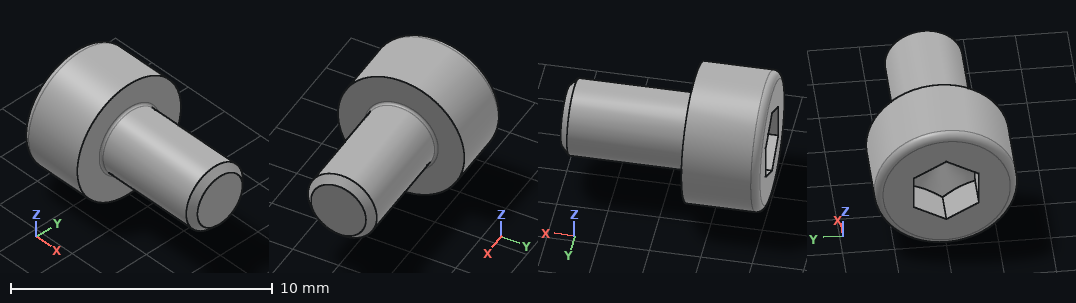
import cadquery as cq
import math

total_length = 8.0
head_diameter = 5.5
head_height = 3.0
head_edge_radius = 0.3
shank_diameter = 3.0
tip_chamfer = 0.3
neck_fillet_radius = 0.1
socket_width = 2.5
socket_depth = 1.3
socket_cone_angle = 120.0

head_radius = head_diameter / 2
shank_radius = shank_diameter / 2
socket_corner_radius = socket_width / math.sqrt(3)
socket_cone_height = socket_corner_radius / math.tan(math.radians(socket_cone_angle / 2))


def make_body():
    """Head and shank turned from one profile, with X along the axis and Y as radius."""
    neck_end = head_height + neck_fillet_radius
    neck_radius = shank_radius + neck_fillet_radius
    profile = (
        cq.Workplane("XY")
        .lineTo(0, head_radius - head_edge_radius)
        .radiusArc((head_edge_radius, head_radius), head_edge_radius)
        .lineTo(head_height, head_radius)
        .lineTo(head_height, neck_radius)
        .radiusArc((neck_end, shank_radius), -neck_fillet_radius)
        .lineTo(total_length - tip_chamfer, shank_radius)
        .lineTo(total_length, shank_radius - tip_chamfer)
        .lineTo(total_length, 0)
        .close()
    )
    return profile.revolve(360, (0, 0), (1, 0))


def make_socket():
    """Hexagonal prism whose inner end is narrowed to a cone point."""
    full_depth = socket_depth + socket_cone_height
    prism = (
        cq.Workplane("YZ")
        .polygon(6, 2 * socket_corner_radius)
        .extrude(full_depth)
        .rotate((0, 0, 0), (1, 0, 0), 90)
    )
    pointed_rod = (
        cq.Workplane("XY")
        .lineTo(0, socket_corner_radius)
        .lineTo(socket_depth, socket_corner_radius)
        .lineTo(full_depth, 0)
        .close()
        .revolve(360, (0, 0), (1, 0))
    )
    return prism.intersect(pointed_rod)


result = make_body().cut(make_socket())